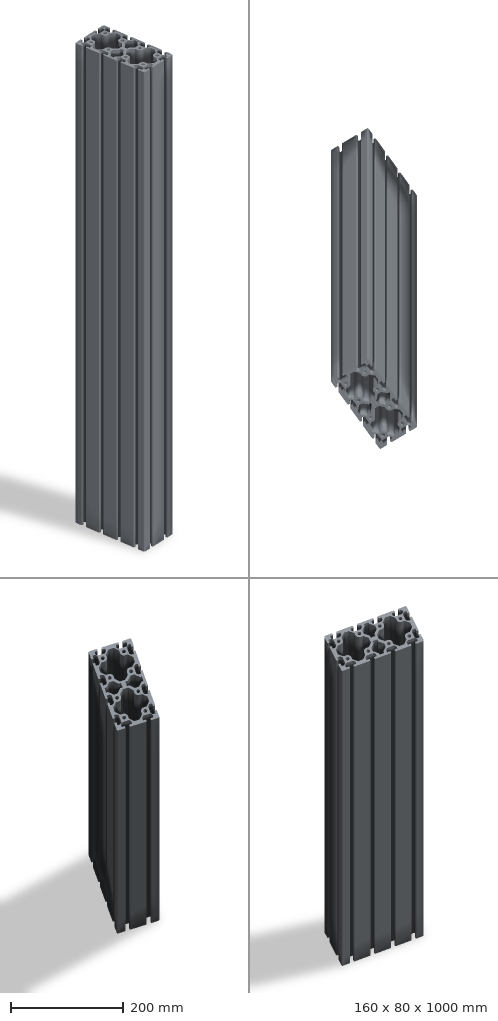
import cadquery as cq
WIDTH = 160.0
DEPTH = 80.0
LENGTH = 1000.0
CORNER_RADIUS = 2.0

CELL = DEPTH
SLOT_PITCH = CELL / 2
HALF_PITCH = SLOT_PITCH / 2
SLOTS_ALONG_X = 4
SLOTS_ALONG_Y = 2

SLOT_OPENING = 8.0
MOUTH_CHAMFER = 1.0
SLOT_INNER_WIDTH = 20.0
SLOT_TAPER = 3.2
LIP_THICKNESS = 4.2

SCREW_HOLE_DIAMETER = 6.8
BOSS_HALF = 7.5
BOSS_RADIUS = 7.0

MAIN_ARM_OFFSET = 3.0
MIDDLE_ARM_OFFSET = 4.0

WALL = 7.7
MIDDLE_WALL = 5.0
WEB_HALF = 8.0
BAR_HALF = 4.0
MIDDLE_END_HALF = 4.5

HALF_WIDTH = WIDTH / 2
HALF_DEPTH = DEPTH / 2
BOSS_FACE = HALF_PITCH - BOSS_HALF
SLOT_DEPTH = BOSS_FACE


def prism(points):
    return cq.Workplane("XY").polyline(points).close().extrude(LENGTH)


def mirrored_in_x(points):
    """Points followed by their mirror images across the Y axis, in loop order."""
    return points + [(-x, y) for x, y in reversed(points)]


def make_slot():
    """Cutter for one T-slot with its mouth on Y = 0, running into +Y."""
    half_mouth = SLOT_OPENING / 2
    half_inner = SLOT_INNER_WIDTH / 2
    return prism(mirrored_in_x([
        (half_mouth + MOUTH_CHAMFER, 0),
        (half_mouth, MOUTH_CHAMFER),
        (half_mouth, LIP_THICKNESS),
        (half_inner, LIP_THICKNESS),
        (half_inner, SLOT_DEPTH - SLOT_TAPER),
        (half_inner - SLOT_TAPER, SLOT_DEPTH),
    ]))


def make_main_chamber():
    """Star-shaped chamber of the +X cell, notched by four rounded bosses."""
    outer = CELL / 2 - WALL
    web = CELL / 2 - WEB_HALF
    arm_sum = SLOT_PITCH - MAIN_ARM_OFFSET
    upper_half = [
        (outer, arm_sum - outer),
        (arm_sum - BOSS_FACE, BOSS_FACE),
        (BOSS_FACE, BOSS_FACE),
        (BOSS_FACE, arm_sum - BOSS_FACE),
        (arm_sum - outer, outer),
        (outer - arm_sum, outer),
        (-BOSS_FACE, arm_sum - BOSS_FACE),
        (-BOSS_FACE, BOSS_FACE),
        (BOSS_FACE - arm_sum, BOSS_FACE),
        (-web, arm_sum - web),
    ]
    lower_half = [(x, -y) for x, y in reversed(upper_half)]
    boss_zone = (BOSS_FACE + HALF_PITCH) / 2
    boss_corners = cq.selectors.BoxSelector(
        (-boss_zone, -boss_zone, 0), (boss_zone, boss_zone, LENGTH)
    )
    chamber = prism(upper_half + lower_half).edges("|Z").edges(boss_corners).fillet(BOSS_RADIUS)
    return chamber.translate((HALF_WIDTH - CELL / 2, 0, 0))


def make_middle_chamber():
    """Chamber between the two cells on the +Y side."""
    shoulder = HALF_PITCH - MIDDLE_ARM_OFFSET - BOSS_FACE
    neck = HALF_PITCH - MIDDLE_ARM_OFFSET - MIDDLE_END_HALF
    chamber = prism(mirrored_in_x([
        (MIDDLE_END_HALF, BAR_HALF - HALF_PITCH),
        (MIDDLE_END_HALF, -neck),
        (BOSS_FACE, -shoulder),
        (BOSS_FACE, shoulder),
        (MIDDLE_END_HALF, neck),
        (MIDDLE_END_HALF, HALF_PITCH - MIDDLE_WALL),
    ]))
    return chamber.translate((0, HALF_PITCH, 0))


def slot_positions(count):
    """Slot centres along one side, evenly spaced about zero."""
    return [(i - (count - 1) / 2) * SLOT_PITCH for i in range(count)]


body = (
    cq.Workplane("XY")
    .rect(WIDTH, DEPTH)
    .extrude(LENGTH)
    .edges("|Z")
    .fillet(CORNER_RADIUS)
)

for x in slot_positions(SLOTS_ALONG_X):
    front_slot = make_slot().translate((x, -HALF_DEPTH, 0))
    body = body.cut(front_slot).cut(front_slot.mirror("XZ"))
for y in slot_positions(SLOTS_ALONG_Y):
    side_slot = make_slot().rotate((0, 0, 0), (0, 0, 1), -90).translate((-HALF_WIDTH, y, 0))
    body = body.cut(side_slot).cut(side_slot.mirror("YZ"))

main_chamber = make_main_chamber()
body = body.cut(main_chamber).cut(main_chamber.mirror("YZ"))
middle_chamber = make_middle_chamber()
body = body.cut(middle_chamber).cut(middle_chamber.mirror("XZ"))

screw_holes = (
    cq.Workplane("XY")
    .rarray(SLOT_PITCH, SLOT_PITCH, SLOTS_ALONG_X, SLOTS_ALONG_Y)
    .circle(SCREW_HOLE_DIAMETER / 2)
    .extrude(LENGTH)
)
result = body.cut(screw_holes)